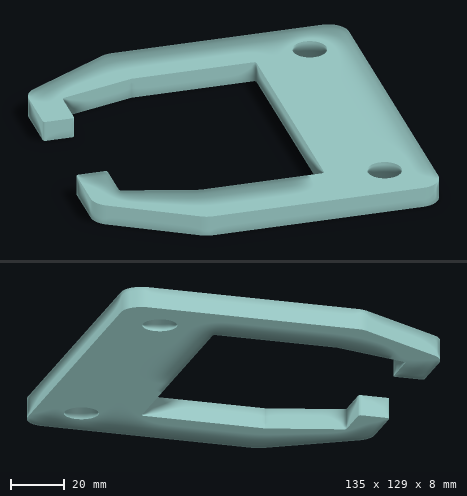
import cadquery as cq
import math

WIDTH = 135.0
LENGTH = 129.0
THICKNESS = 8.0

OUTER_RADIUS = 8.0
TAPER_LENGTH = 37.4
OUTER_TAPER_ANGLE = 60.0

WINDOW_WIDTH = 91.8
BRIDGE_DEPTH = 40.0
HOOK_DEPTH = 12.0
MOUTH_WIDTH = 43.6
INNER_TAPER_LENGTH = 29.0
INNER_TAPER_ANGLE = 15.0
HOOK_RADIUS = 1.0
WINDOW_RADIUS = 1.0

HOLE_DIAMETER = 13.0
HOLE_SPACING = 100.0
HOLE_BACK_OFFSET = 18.0

BACK_Y = LENGTH / 2
FRONT_Y = -LENGTH / 2
HOOK_Y = FRONT_Y + HOOK_DEPTH
HOOK_CORNER_X = WINDOW_WIDTH / 2 - INNER_TAPER_LENGTH * math.tan(math.radians(INNER_TAPER_ANGLE))


def mirrored(right_half):
    """Complete a right-hand run of points with its mirror image across the Y axis."""
    return right_half + [(-x, y) for x, y in reversed(right_half)]


def extruded(points):
    return cq.Workplane("XY").polyline(points).close().extrude(THICKNESS)


def make_blank():
    """Plate narrowing towards the front, with every corner rounded."""
    front_half_width = WIDTH / 2 - TAPER_LENGTH / math.tan(math.radians(OUTER_TAPER_ANGLE))
    right_half = [
        (WIDTH / 2, BACK_Y),
        (WIDTH / 2, FRONT_Y + TAPER_LENGTH),
        (front_half_width, FRONT_Y),
    ]
    return extruded(mirrored(right_half)).edges("|Z").fillet(OUTER_RADIUS)


def make_opening():
    """Window with tapering sides, open to the front through the mouth."""
    right_half = [
        (WINDOW_WIDTH / 2, BACK_Y - BRIDGE_DEPTH),
        (WINDOW_WIDTH / 2, HOOK_Y + INNER_TAPER_LENGTH),
        (HOOK_CORNER_X, HOOK_Y),
        (MOUTH_WIDTH / 2, HOOK_Y),
        (MOUTH_WIDTH / 2, FRONT_Y),
    ]
    return extruded(mirrored(right_half))


def corner_at(x, y):
    """Selector for the upright edge passing through (x, y)."""
    return cq.selectors.NearestToPointSelector((x, y, THICKNESS / 2))


def round_opening(plate):
    """Round the back corners of the window and the hook corners along the mouth."""
    for side in (-1, 1):
        hook_corners = [
            (side * HOOK_CORNER_X, HOOK_Y),
            (side * MOUTH_WIDTH / 2, HOOK_Y),
            (side * MOUTH_WIDTH / 2, FRONT_Y),
        ]
        for x, y in hook_corners:
            plate = plate.edges("|Z").edges(corner_at(x, y)).fillet(HOOK_RADIUS)
        window_corner = corner_at(side * WINDOW_WIDTH / 2, BACK_Y - BRIDGE_DEPTH)
        plate = plate.edges("|Z").edges(window_corner).fillet(WINDOW_RADIUS)
    return plate


def drill_holes(plate):
    hole_y = BACK_Y - HOLE_BACK_OFFSET
    centres = [(side * HOLE_SPACING / 2, hole_y) for side in (-1, 1)]
    return plate.cut(cq.Workplane("XY").pushPoints(centres).circle(HOLE_DIAMETER / 2).extrude(THICKNESS))


result = drill_holes(round_opening(make_blank().cut(make_opening())))